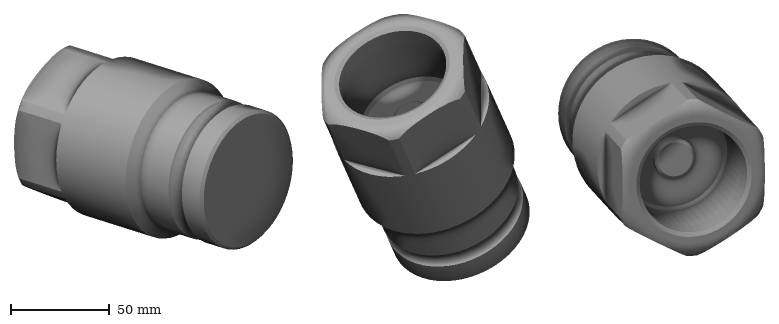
import cadquery as cq
import math

length = 124.0
body_diameter = 83.5
body_radius = body_diameter / 2
neck_radius = 36.5

hex_sides = 6
hex_length = 32.1
across_flats = 74.8
face_radius = 34.0
crown_arc_radius = 10.0

shoulder_start = 78.0
shoulder_size = body_radius - neck_radius

groove_center = 106.4
groove_depth = 2.7
groove_arc_radius = 5.0

end_chamfer = 1.5

bore_radius = 28.3
mouth_radius = 30.4
mouth_cone_angle = 30.0
floor_radius = 26.7
bore_straight_end = 38.0
floor_cone_length = bore_radius - floor_radius
bore_depth = bore_straight_end + floor_cone_length

boss_radius = 10.5
boss_height = 5.0
boss_chamfer = 1.5


def along_x(start):
    """Workplane normal to X, with its local x along Y and its local y along Z."""
    return cq.Workplane("YZ", origin=(start, 0, 0))


def revolve_profile(profile):
    """Revolve a closed (x, radius) outline around the X axis."""
    return profile.close().revolve(360, (0, 0, 0), (1, 0, 0))


def crown_depth(radius):
    """Distance the rounded hex end has fallen back from the end face at a radius."""
    return crown_arc_radius - math.sqrt(crown_arc_radius**2 - (radius - face_radius) ** 2)


def make_outside():
    """Turned outside: rounded end, body, shoulder and chamfered neck."""
    middle_radius = (face_radius + body_radius) / 2
    profile = (
        cq.Workplane("XY")
        .lineTo(0, face_radius)
        .threePointArc((crown_depth(middle_radius), middle_radius), (crown_depth(body_radius), body_radius))
        .lineTo(shoulder_start, body_radius)
        .lineTo(shoulder_start + shoulder_size, neck_radius)
        .lineTo(length - end_chamfer, neck_radius)
        .lineTo(length, neck_radius - end_chamfer)
        .lineTo(length, 0)
    )
    return revolve_profile(profile)


def make_hex_cutter():
    """Material outside the six flats, with two flats facing +Y and -Y."""
    blank = along_x(0).circle(body_diameter).extrude(hex_length)
    half_side_angle = 180 / hex_sides
    across_corners = across_flats / math.cos(math.radians(half_side_angle))
    turned_plane = along_x(0).transformed(rotate=(0, 0, half_side_angle))
    hexagon = turned_plane.polygon(hex_sides, across_corners).extrude(hex_length)
    return blank.cut(hexagon)


def make_groove():
    """Ring of circular section that cuts the groove."""
    ring_radius = neck_radius - groove_depth + groove_arc_radius
    section = cq.Workplane("XY").center(groove_center, ring_radius).circle(groove_arc_radius)
    return section.revolve(360, (0, -ring_radius, 0), (1, -ring_radius, 0))


def make_bore():
    """Blind bore with a countersunk mouth and a 45 degree cone down to its floor."""
    mouth_depth = (mouth_radius - bore_radius) * math.tan(math.radians(mouth_cone_angle))
    profile = (
        cq.Workplane("XY")
        .lineTo(0, mouth_radius)
        .lineTo(mouth_depth, bore_radius)
        .lineTo(bore_straight_end, bore_radius)
        .lineTo(bore_depth, floor_radius)
        .lineTo(bore_depth, 0)
    )
    return revolve_profile(profile)


def make_boss():
    """Chamfered round boss rising from the bore floor toward the mouth."""
    boss = along_x(bore_depth).circle(boss_radius).extrude(-boss_height)
    return boss.faces("<X").chamfer(boss_chamfer)


result = make_outside().cut(make_hex_cutter()).cut(make_groove()).cut(make_bore()).union(make_boss())